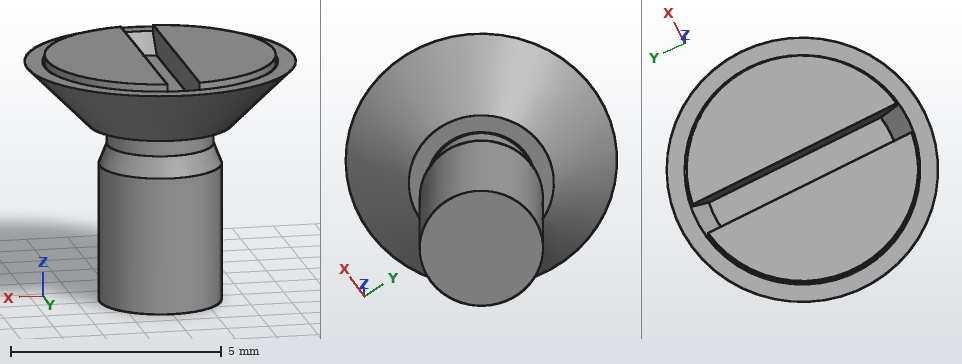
import cadquery as cq

screw_length = 6.0
head_projection = 0.16
washer_height = 1.5
neck_length = 0.495
taper_length = 0.495

washer_top_radius = 3.225
seat_top_radius = 2.8
head_radius = 2.75
neck_radius = 1.27
shank_radius = 1.465

slot_width = 0.79
slot_depth = 0.64

washer_top = screw_length - head_projection
washer_bottom = washer_top - washer_height
washer_bottom_radius = washer_top_radius - washer_height
seat_bottom_radius = seat_top_radius - washer_height
head_rim_bottom = washer_top - (seat_top_radius - head_radius)
neck_bottom = washer_bottom - neck_length
shank_top = neck_bottom - taper_length


def make_washer():
    """Cup washer: a conical shell of constant slope around the screw head."""
    profile = [
        (seat_bottom_radius, washer_bottom),
        (washer_bottom_radius, washer_bottom),
        (washer_top_radius, washer_top),
        (seat_top_radius, washer_top),
    ]
    return cq.Workplane("XZ").polyline(profile).close().revolve(360, (0, 0), (0, 1))


def make_screw():
    """Countersunk screw with a relieved neck and a slotted head."""
    profile = [
        (0, 0),
        (shank_radius, 0),
        (shank_radius, shank_top),
        (neck_radius, neck_bottom),
        (neck_radius, washer_bottom),
        (seat_bottom_radius, washer_bottom),
        (head_radius, head_rim_bottom),
        (head_radius, screw_length),
        (0, screw_length),
    ]
    blank = cq.Workplane("XZ").polyline(profile).close().revolve(360, (0, 0), (0, 1))
    slot = (
        cq.Workplane("XY")
        .workplane(offset=screw_length - slot_depth)
        .rect(slot_width, 2 * head_radius)
        .extrude(slot_depth)
    )
    return blank.cut(slot)


washer = make_washer()
screw = make_screw()
result = cq.Compound.makeCompound([washer.val(), screw.val()])